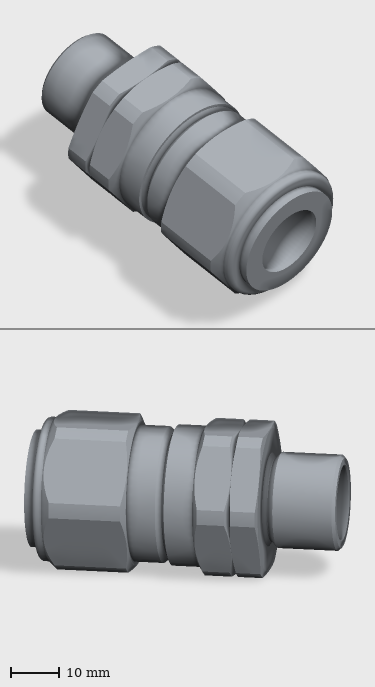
import cadquery as cq
import math

LENGTH = 64.95

BORE_RADIUS = 7.65
BORE_CHAMFER = 0.25

SPIGOT_RADIUS = 10.0
SPIGOT_CHAMFER = 0.65
RELIEF_START = 13.1
RELIEF_DEPTH = 1.25
RELIEF_WIDTH = 0.25
RELIEF_SHOULDER_RADIUS = 9.75

BODY_FLATS = 30.15
BODY_CORNER_RADIUS = 16.55
FRONT_HEX_START = 15.3
FRONT_HEX_FACE_RADIUS = 14.9
FRONT_HEX_CHAMFER = 0.3
HEX_JOINT = 21.3
HEX_JOINT_RADIUS = 15.0
FRONT_HEX_REAR_CHAMFER = 0.45
REAR_HEX_CHAMFER = 0.85
REAR_HEX_CORNER_END = 27.85

COLLAR_START = 29.15
COLLAR_RADIUS = 14.7
COLLAR_END = 35.15
GROOVE_LIP_RADIUS = 14.0
GROOVE_BOTTOM = 35.9
GROOVE_RADIUS = 13.1
RING_START = 37.1
RING_RADIUS = 14.2

NUT_FLATS = 30.5
NUT_CORNER_RADIUS = 16.75
NUT_START = 43.05
NUT_FACE_RADIUS = 15.0
NUT_FRONT_CHAMFER = 0.9
NUT_CORNER_END = 59.0
FLANGE_START = 60.9
FLANGE_RADIUS = 15.0
FLANGE_FILLET = 1.0
FLANGE_END = 62.9
TAIL_RADIUS = 12.2


def turned(profile):
    """Revolve an (X, radius) outline, closed along the axis, around the X axis."""
    start = (profile[0][0], 0)
    end = (profile[-1][0], 0)
    outline = cq.Workplane("XY").polyline([start] + profile + [end]).close()
    return outline.revolve(360, (0, 0, 0), (1, 0, 0))


def hexagonal(profile, across_flats):
    """Turned blank cut to a hexagon with flats facing +Z and -Z and corners along Y."""
    start = profile[0][0]
    length = profile[-1][0] - start
    across_corners = across_flats / math.cos(math.radians(30))
    prism = (
        cq.Workplane("YZ")
        .workplane(offset=start)
        .polygon(6, across_corners)
        .extrude(length)
    )
    return turned(profile).intersect(prism)


def make_spigot():
    relief_radius = SPIGOT_RADIUS - RELIEF_DEPTH
    relief_bottom = RELIEF_START + RELIEF_DEPTH
    return turned([
        (0, SPIGOT_RADIUS - SPIGOT_CHAMFER),
        (SPIGOT_CHAMFER, SPIGOT_RADIUS),
        (RELIEF_START, SPIGOT_RADIUS),
        (relief_bottom, relief_radius),
        (relief_bottom + RELIEF_WIDTH, relief_radius),
        (FRONT_HEX_START, RELIEF_SHOULDER_RADIUS),
    ])


def make_front_hex():
    return hexagonal([
        (FRONT_HEX_START, FRONT_HEX_FACE_RADIUS),
        (FRONT_HEX_START + FRONT_HEX_CHAMFER, BODY_CORNER_RADIUS),
        (HEX_JOINT - FRONT_HEX_REAR_CHAMFER, BODY_CORNER_RADIUS),
        (HEX_JOINT, HEX_JOINT_RADIUS),
    ], BODY_FLATS)


def make_rear_hex():
    return hexagonal([
        (HEX_JOINT, HEX_JOINT_RADIUS),
        (HEX_JOINT + REAR_HEX_CHAMFER, BODY_CORNER_RADIUS),
        (REAR_HEX_CORNER_END, BODY_CORNER_RADIUS),
        (COLLAR_START, COLLAR_RADIUS),
    ], BODY_FLATS)


def make_collar_and_ring():
    return turned([
        (COLLAR_START, COLLAR_RADIUS),
        (COLLAR_END, COLLAR_RADIUS),
        (COLLAR_END, GROOVE_LIP_RADIUS),
        (GROOVE_BOTTOM, GROOVE_RADIUS),
        (RING_START, RING_RADIUS),
        (NUT_START, RING_RADIUS),
    ])


def make_nut():
    return hexagonal([
        (NUT_START, NUT_FACE_RADIUS),
        (NUT_START + NUT_FRONT_CHAMFER, NUT_CORNER_RADIUS),
        (NUT_CORNER_END, NUT_CORNER_RADIUS),
        (FLANGE_START, FLANGE_RADIUS),
    ], NUT_FLATS)


def make_flange():
    flange = turned([(FLANGE_START, FLANGE_RADIUS), (FLANGE_END, FLANGE_RADIUS)])
    return flange.faces(">X").edges().fillet(FLANGE_FILLET)


def make_tail():
    return turned([(FLANGE_END, TAIL_RADIUS), (LENGTH, TAIL_RADIUS)])


def make_bore():
    return turned([
        (0, BORE_RADIUS + BORE_CHAMFER),
        (BORE_CHAMFER, BORE_RADIUS),
        (LENGTH, BORE_RADIUS),
    ])


result = (
    make_spigot()
    .union(make_front_hex())
    .union(make_rear_hex())
    .union(make_collar_and_ring())
    .union(make_nut())
    .union(make_flange())
    .union(make_tail())
    .cut(make_bore())
)